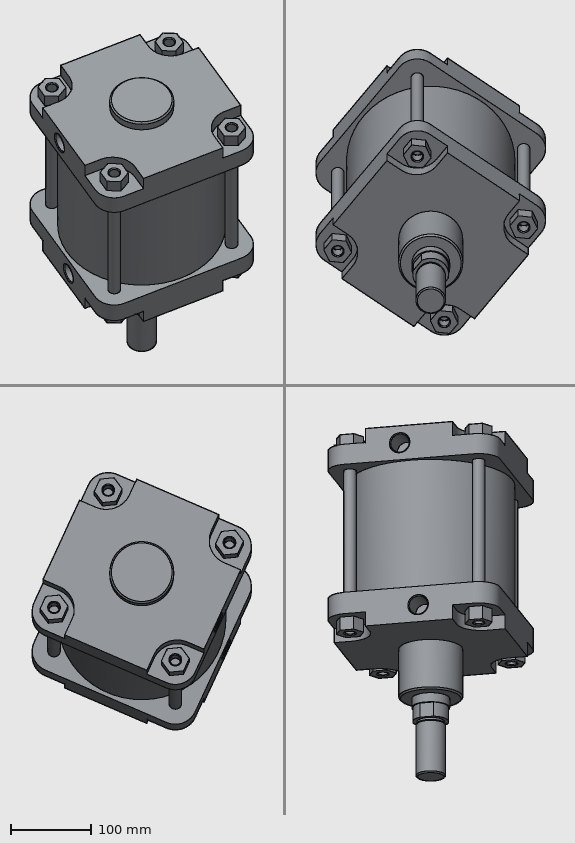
import cadquery as cq
import math


plate_width = 220.0
tie_spacing = 165.5
corner_inset = (plate_width - tie_spacing) / 2
corner_radius = corner_inset
notch_side = 54.0
notch_radius = 31.5
notch_depth = 18.5
cap_thickness = 44.8
head_thickness = 46.5

barrel_radius = 105.0
barrel_length = 168.0
boss_radius = 40.0
boss_chamfer = 2.0
cap_boss_height = 12.5
head_boss_height = 64.5

port_radius = 12.0
port_chamfer = 1.5
port_depth = 35.0
port_offset = 12.0
port_inset = 22.5

tie_radius = 8.0
nut_across_flats = 30.5
nut_height = 17.0
nut_bore_radius = 6.5
nut_bore_chamfer = 1.5

thread_radius = 18.5
thread_length = 70.0
thread_chamfer = 1.8
relief_radius = 17.0
relief_length = 2.5
wrench_radius = 22.5
wrench_length = 18.5
wrench_across_flats = 41.3
collar_radius = 23.5
collar_length = 12.0

wrench_bottom = thread_length + relief_length
collar_bottom = wrench_bottom + wrench_length
head_boss_bottom = collar_bottom + collar_length
head_bottom = head_boss_bottom + head_boss_height
barrel_bottom = head_bottom + head_thickness
cap_bottom = barrel_bottom + barrel_length
cap_top = cap_bottom + cap_thickness
cap_notch_floor = cap_top - notch_depth
head_notch_floor = head_bottom + notch_depth

corner_signs = [(sx, sy) for sx in (-1, 1) for sy in (-1, 1)]
tie_points = [(sx * tie_spacing / 2, sy * tie_spacing / 2) for sx, sy in corner_signs]


def cylinder(radius, bottom, height):
    """Cylinder on the Z axis."""
    return cq.Workplane("XY", origin=(0, 0, bottom)).circle(radius).extrude(height)


def corner_notches(bottom):
    """Four square cutters over the plate corners, each with its inner edge rounded."""
    cutters = cq.Workplane("XY")
    notch_centre = (plate_width - notch_side) / 2
    for sx, sy in corner_signs:
        inner_x = ">X" if sx < 0 else "<X"
        inner_y = ">Y" if sy < 0 else "<Y"
        cutter = (
            cq.Workplane("XY", origin=(sx * notch_centre, sy * notch_centre, bottom))
            .rect(notch_side, notch_side)
            .extrude(notch_depth)
            .edges("|Z").edges(inner_x).edges(inner_y)
            .fillet(notch_radius)
        )
        cutters = cutters.add(cutter)
    return cutters.combine()


def air_port(x, z):
    """Cutter for a blind port in the -Y side, with a chamfered mouth."""
    mouth_radius = port_radius + port_chamfer
    profile = [
        (0, 0),
        (mouth_radius, 0),
        (port_radius, port_chamfer),
        (port_radius, port_depth),
        (0, port_depth),
    ]
    return (
        cq.Workplane("XY")
        .polyline(profile).close()
        .revolve(360, (0, 0), (0, 1))
        .translate((x, -plate_width / 2, z))
    )


def end_plate(bottom, thickness, notch_bottom, port_x, port_z):
    """Rounded square plate with corner notches, tie rod holes and one air port."""
    base = cq.Workplane("XY", origin=(0, 0, bottom))
    blank = base.rect(plate_width, plate_width).extrude(thickness).edges("|Z").fillet(corner_radius)
    tie_holes = base.pushPoints(tie_points).circle(tie_radius).extrude(thickness)
    return blank.cut(corner_notches(notch_bottom)).cut(tie_holes).cut(air_port(port_x, port_z))


def make_cap():
    """Upper end plate with its short boss."""
    plate = end_plate(cap_bottom, cap_thickness, cap_notch_floor, -port_offset, cap_top - port_inset)
    boss = cylinder(boss_radius, cap_top, cap_boss_height).faces(">Z").chamfer(boss_chamfer)
    return plate.union(boss)


def make_head():
    """Lower end plate with the long boss on the piston rod side."""
    plate = end_plate(head_bottom, head_thickness, head_bottom, port_offset, head_bottom + port_inset)
    boss = cylinder(boss_radius, head_boss_bottom, head_boss_height).faces("<Z").chamfer(boss_chamfer)
    return plate.union(boss)


def make_barrel():
    """Plain cylinder clamped between the end plates."""
    return cylinder(barrel_radius, barrel_bottom, barrel_length)


def make_piston_rod():
    """Shank for the thread, relief groove, wrench flats on +Y and -Y, and collar against the head boss."""
    thread = cylinder(thread_radius, 0, thread_length).faces("<Z or >Z").chamfer(thread_chamfer)
    relief = cylinder(relief_radius, thread_length, relief_length)
    flats = (
        cq.Workplane("XY", origin=(0, 0, wrench_bottom))
        .rect(2 * wrench_radius, wrench_across_flats)
        .extrude(wrench_length)
    )
    wrench = cylinder(wrench_radius, wrench_bottom, wrench_length).intersect(flats)
    collar = cylinder(collar_radius, collar_bottom, collar_length)
    return thread.union(relief).union(wrench).union(collar)


def make_nut():
    """Hex nut standing on Z = 0, with its bore chamfered at the top."""
    across_corners = nut_across_flats / math.cos(math.pi / 6)
    return (
        cq.Workplane("XY")
        .polygon(6, across_corners)
        .circle(nut_bore_radius)
        .extrude(nut_height)
        .faces(">Z").edges("%CIRCLE").chamfer(nut_bore_chamfer)
    )


def make_tie_rod(x, y):
    """Rod from notch floor to notch floor, with a nut at each end."""
    rod = cylinder(tie_radius, head_notch_floor, cap_notch_floor - head_notch_floor)
    upper_nut = make_nut().translate((0, 0, cap_notch_floor))
    lower_nut = make_nut().rotate((0, 0, 0), (1, 0, 0), 180).translate((0, 0, head_notch_floor))
    return rod.union(upper_nut).union(lower_nut).translate((x, y, 0))


cap = make_cap()
head = make_head()
barrel = make_barrel()
piston_rod = make_piston_rod()
tie_rods = [make_tie_rod(x, y).val() for x, y in tie_points]

result = cq.Compound.makeCompound([cap.val(), head.val(), barrel.val(), piston_rod.val(), *tie_rods])